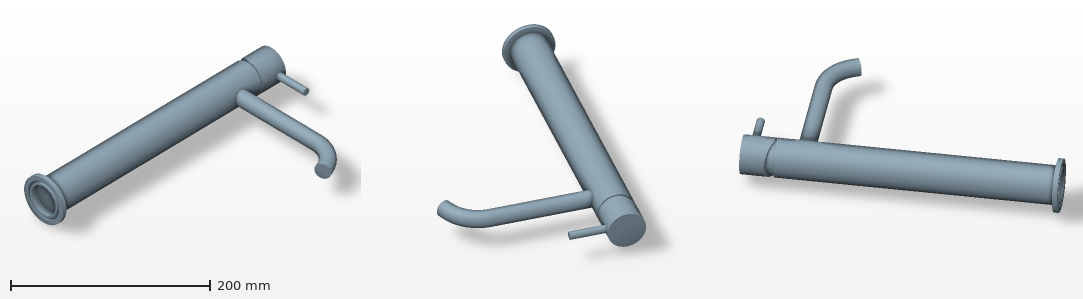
import cadquery as cq
import math

TOTAL_HEIGHT = 325.0
OVERALL_X = 200.0
COLUMN_RADIUS = 20.0
COLUMN_TOP = 290.2

FLANGE_DIAMETER = 55.0
FLANGE_RADIUS = FLANGE_DIAMETER / 2
FLANGE_THICKNESS = 5.2
FLANGE_GROOVE_RADIUS = 22.0
FLANGE_GROOVE_DEPTH = 3.2
SPIGOT_RADIUS = 19.2

BORE_RADIUS = 17.2
BORE_DEPTH = 8.0

NECK_BASE_RADIUS = 18.5
NECK_TOP_RADIUS = 16.2
NECK_TOP = 298.0
NECK_MIDDLE_INSET = 0.5

HANDLE_GAP = 2.0
HANDLE_BOTTOM = COLUMN_TOP + HANDLE_GAP
HANDLE_RELIEF_RISE = 7.8
LEVER_RADIUS = 4.2
LEVER_AXIS_HEIGHT = 316.0
LEVER_REACH = 58.2

SPOUT_RADIUS = 9.0
SPOUT_AXIS_HEIGHT = 263.0
SPOUT_STRAIGHT_END = 124.8
SPOUT_BEND_RADIUS = 40.0
SPOUT_BEND_ANGLE = 66.0
SPOUT_RIM_OVERHANG = SPOUT_RADIUS * math.sin(math.radians(SPOUT_BEND_ANGLE))
SPOUT_TIP_X = OVERALL_X - FLANGE_RADIUS - SPOUT_RIM_OVERHANG


def upright_cylinder(radius, bottom, top):
    """Cylinder around the column axis between two heights."""
    return cq.Workplane("XZ", origin=(0, bottom, 0)).circle(radius).extrude(bottom - top)


def rod_along_x(radius, height, reach):
    """Cylinder from the column axis toward +X."""
    return cq.Workplane("YZ").center(height, 0).circle(radius).extrude(reach)


def make_flange():
    """Ring around the column spigot, relieved below to leave a groove around the spigot."""
    ring = upright_cylinder(FLANGE_RADIUS, 0, FLANGE_THICKNESS)
    groove = upright_cylinder(FLANGE_GROOVE_RADIUS, 0, FLANGE_GROOVE_DEPTH)
    hole = upright_cylinder(SPIGOT_RADIUS, 0, FLANGE_THICKNESS)
    return ring.cut(groove).cut(hole)


def make_column():
    """Post resting on the flange, with a hollow spigot that passes down through it."""
    post = upright_cylinder(COLUMN_RADIUS, FLANGE_THICKNESS, COLUMN_TOP)
    spigot = upright_cylinder(SPIGOT_RADIUS, 0, FLANGE_THICKNESS)
    bore = upright_cylinder(BORE_RADIUS, 0, BORE_DEPTH)
    return post.union(spigot).cut(bore)


def make_neck():
    """Rounded neck that narrows upward from the top of the column."""
    neck_height = NECK_TOP - COLUMN_TOP
    bulge = (NECK_BASE_RADIUS - NECK_MIDDLE_INSET, COLUMN_TOP + neck_height / 2)
    return (
        cq.Workplane("XY")
        .moveTo(0, COLUMN_TOP)
        .lineTo(NECK_BASE_RADIUS, COLUMN_TOP)
        .threePointArc(bulge, (NECK_TOP_RADIUS, NECK_TOP))
        .lineTo(0, NECK_TOP)
        .close()
        .revolve(360, (0, 0), (0, 1))
    )


def make_handle(neck):
    """Cap with a slanted relief under its -X half, a socket for the neck and a side lever."""
    cap = upright_cylinder(COLUMN_RADIUS, HANDLE_BOTTOM, TOTAL_HEIGHT)
    relief = (
        cq.Workplane("XY")
        .moveTo(0, HANDLE_BOTTOM)
        .lineTo(-COLUMN_RADIUS, HANDLE_BOTTOM + HANDLE_RELIEF_RISE)
        .lineTo(-COLUMN_RADIUS, HANDLE_BOTTOM)
        .close()
        .extrude(COLUMN_RADIUS, both=True)
    )
    lever = rod_along_x(LEVER_RADIUS, LEVER_AXIS_HEIGHT, LEVER_REACH)
    return cap.cut(relief).cut(neck).union(lever)


def make_spout(column):
    """Round tube: straight run, downward bend and short straight tip, seated on the column wall."""
    angle = math.radians(SPOUT_BEND_ANGLE)
    bend_end_x = SPOUT_STRAIGHT_END + SPOUT_BEND_RADIUS * math.sin(angle)
    bend_end_y = SPOUT_AXIS_HEIGHT - SPOUT_BEND_RADIUS * (1 - math.cos(angle))
    bend_mid = (
        SPOUT_STRAIGHT_END + SPOUT_BEND_RADIUS * math.sin(angle / 2),
        SPOUT_AXIS_HEIGHT - SPOUT_BEND_RADIUS * (1 - math.cos(angle / 2)),
    )
    tip_y = bend_end_y - (SPOUT_TIP_X - bend_end_x) * math.tan(angle)
    path = (
        cq.Workplane("XY")
        .moveTo(0, SPOUT_AXIS_HEIGHT)
        .lineTo(SPOUT_STRAIGHT_END, SPOUT_AXIS_HEIGHT)
        .threePointArc(bend_mid, (bend_end_x, bend_end_y))
        .lineTo(SPOUT_TIP_X, tip_y)
    )
    tube = cq.Workplane("YZ").center(SPOUT_AXIS_HEIGHT, 0).circle(SPOUT_RADIUS).sweep(path)
    return tube.cut(column)


flange = make_flange()
column = make_column()
neck = make_neck()
handle = make_handle(neck)
spout = make_spout(column)

result = cq.Compound.makeCompound(
    [flange.val(), column.val(), neck.val(), handle.val(), spout.val()]
)